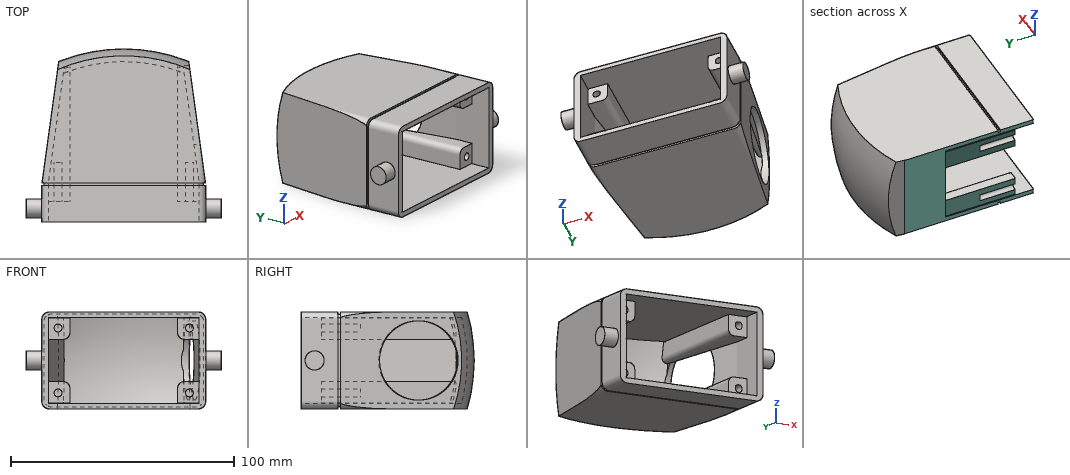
import cadquery as cq
import math

body_width = 73.5
body_height = 43.5
corner_radius = 3.5
dome_radius = 77.5
taper_start = 16.6
taper_angle = 7.83

groove_start = 16.45
groove_width = 1.1
groove_depth = 1.0

side_wall = 3.1
flat_wall = 2.45
dome_wall = 3.15
cavity_taper_start = 18.1
cavity_width = body_width - 2 * side_wall
cavity_height = body_height - 2 * flat_wall

peg_span = 87.5
peg_diameter = 8.6
peg_y = 6.0

entry_diameter = 35.5
entry_reach = 10.5
entry_y = 52.7

post_size = 9.5
post_gap = 0.3
post_front = 9.1
post_radius = 2.8
screw_diameter = 3.5
screw_depth = 17.5
screw_x = 29.4
screw_z = 14.5


def block(width, height, start, end):
    """Box centred on the Y axis, from y = start to y = end."""
    return cq.Workplane("XY").box(width, end - start, height).translate((0, (start + end) / 2, 0))


def tapered_outline(width, start, radius):
    """Plan outline, straight up to start and then narrowing, as deep as the dome radius."""
    half = width / 2
    back_half = half - (radius - start) * math.tan(math.radians(taper_angle))
    return cq.Workplane("XY").polyline([
        (-half, 0),
        (half, 0),
        (half, start),
        (back_half, radius),
        (-back_half, radius),
        (-half, start),
    ]).close()


def domed_prism(width, height, start, radius):
    """Tapered prism whose far end is cut to a sphere."""
    prism = tapered_outline(width, start, radius).extrude(height / 2, both=True)
    return prism.intersect(cq.Workplane("XY").sphere(radius))


def rounded_block(width, height, start, end):
    return block(width, height, start, end).edges("|Y").fillet(corner_radius)


def make_cavity():
    return domed_prism(cavity_width, cavity_height, cavity_taper_start, dome_radius - dome_wall)


def make_groove():
    end = groove_start + groove_width
    core = rounded_block(body_width - 2 * groove_depth, body_height - 2 * groove_depth, groove_start, end)
    return block(body_width, body_height, groove_start, end).cut(core)


def make_peg(side):
    wall_x = body_width / 2
    peg = cq.Workplane("YZ").center(peg_y, 0).circle(peg_diameter / 2).extrude(side * (peg_span / 2 - wall_x))
    return peg.translate((side * wall_x, 0, 0))


def make_cable_entry():
    """Cylinder square to the leaning +X wall, reaching equally far to both sides of it."""
    lean = math.radians(taper_angle)
    wall_x = body_width / 2 - (entry_y - taper_start) * math.tan(lean)
    outward = cq.Vector(math.cos(lean), math.sin(lean), 0)
    wall_plane = cq.Plane(origin=(wall_x, entry_y, 0), xDir=(0, 0, 1), normal=outward)
    return cq.Workplane(wall_plane).circle(entry_diameter / 2).extrude(entry_reach, both=True)


def make_housing():
    shell = domed_prism(body_width, body_height, taper_start, dome_radius)
    shell = shell.intersect(rounded_block(body_width, body_height, 0, dome_radius))
    shell = shell.cut(make_groove()).cut(make_cavity())
    shell = shell.cut(make_cable_entry())
    for side in (-1, 1):
        shell = shell.union(make_peg(side))
    return shell


def make_post(side_x, side_z):
    """Screw post in one cavity corner, shaped at its outer and far faces by the cavity."""
    length = dome_radius - post_front
    post = (
        cq.Workplane("XY")
        .box(post_size, length, post_size)
        .edges("|Y").edges("<X" if side_x > 0 else ">X").edges("<Z" if side_z > 0 else ">Z")
        .fillet(post_radius)
        .translate((
            side_x * (cavity_width - post_size) / 2,
            post_front + length / 2,
            side_z * (cavity_height / 2 - post_gap - post_size / 2),
        ))
    )
    screw_hole = (
        cq.Workplane("XZ", origin=(side_x * screw_x, post_front, side_z * screw_z))
        .circle(screw_diameter / 2)
        .extrude(-screw_depth)
    )
    return post.intersect(make_cavity()).cut(screw_hole)


housing = make_housing()
posts = [make_post(side_x, side_z) for side_x in (-1, 1) for side_z in (-1, 1)]

result = cq.Compound.makeCompound([housing.val(), *[post.val() for post in posts]])